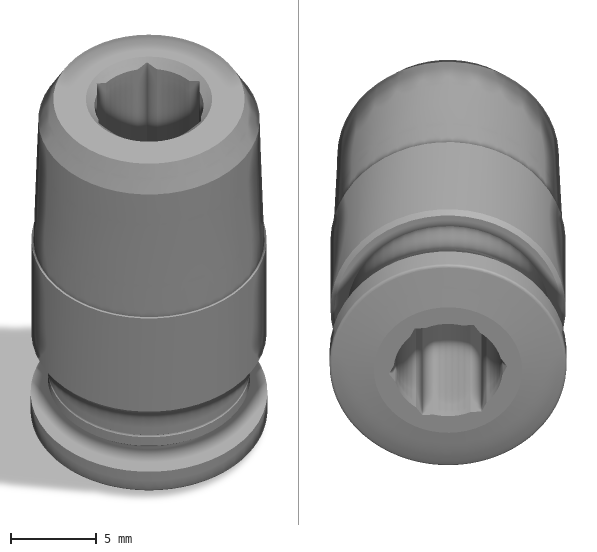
import cadquery as cq

total_height = 25.1

flange_radius = 6.9
flange_top = 2.0
flange_edge_fillet = 0.18
underside_rise = 0.48
underside_flat_radius = 4.32

neck_radius = 4.67
neck_foot_fillet = 0.3

collar_radius = 5.9
collar_bottom = 2.94
collar_chamfer = 0.2
groove_bottom = 3.82
groove_width = 0.18
groove_depth = 0.088

sleeve_radius = 6.85
sleeve_bottom = 6.38
sleeve_top = 14.05
sleeve_chamfer_width = 0.23
sleeve_chamfer_height = 0.33

barrel_base_radius = 6.73
barrel_top_radius = 6.45
barrel_top = 23.47
end_face_radius = 5.57

hex_across_flats = 5.97
bore_diameter = 6.35
mouth_diameter = 7.35


def make_body():
    """Revolve the outer profile, given as radius and height, about Z."""
    flange = [
        (0, 0),
        (underside_flat_radius, 0),
        (flange_radius, underside_rise),
        (flange_radius, flange_top),
    ]
    neck = [
        (neck_radius, flange_top + neck_foot_fillet),
        (neck_radius, collar_bottom),
    ]
    collar = [
        (collar_radius - collar_chamfer, collar_bottom),
        (collar_radius, collar_bottom + collar_chamfer),
        (collar_radius, groove_bottom),
        (collar_radius - groove_depth, groove_bottom + groove_width / 2),
        (collar_radius, groove_bottom + groove_width),
        (collar_radius, sleeve_bottom),
    ]
    sleeve = [
        (sleeve_radius - sleeve_chamfer_width, sleeve_bottom),
        (sleeve_radius, sleeve_bottom + sleeve_chamfer_height),
        (sleeve_radius, sleeve_top),
    ]
    barrel = [
        (barrel_base_radius, sleeve_top),
        (barrel_top_radius, barrel_top),
        (end_face_radius, total_height),
        (0, total_height),
    ]
    profile = (
        cq.Workplane("XZ")
        .polyline(flange)
        .lineTo(neck_radius + neck_foot_fillet, flange_top)
        .radiusArc(neck[0], neck_foot_fillet)
        .polyline(neck + collar + sleeve + barrel)
        .close()
    )
    body = profile.revolve(360, (0, 0, 0), (0, 1, 0))
    flange_edge = cq.selectors.NearestToPointSelector((0, 0, underside_rise))
    return body.edges(flange_edge).fillet(flange_edge_fillet)


def make_socket():
    """Through hexagon with corners on the Y axis, widened by a round bore."""
    hexagon = (
        cq.Workplane("XY")
        .polygon(6, hex_across_flats, circumscribed=True)
        .extrude(total_height)
    )
    bore = cq.Workplane("XY").circle(bore_diameter / 2).extrude(total_height)
    return hexagon.union(bore)


def make_mouth():
    """45 degree countersink at the top of the socket."""
    mouth_radius = mouth_diameter / 2
    cone = cq.Solid.makeCone(
        0, mouth_radius, mouth_radius, pnt=cq.Vector(0, 0, total_height - mouth_radius)
    )
    return cq.Workplane(obj=cone)


result = make_body().cut(make_socket()).cut(make_mouth())